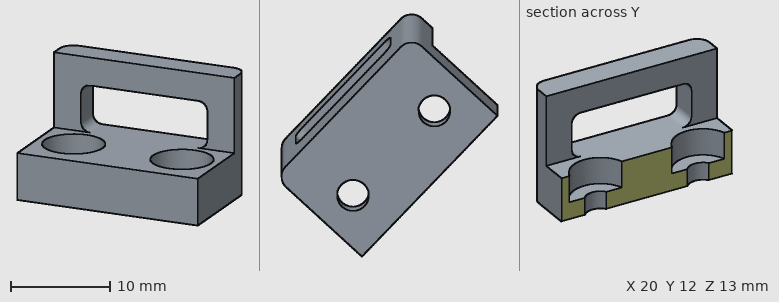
import cadquery as cq

length = 20
depth = 12
height = 13
base_height = 5
plate_thickness = 3
corner_radius = 1.5

frame_width = 3
window_radius = 1
window_length = length - 2 * frame_width
window_height = height - base_height - frame_width

hole_spacing = 12
hole_from_front = 5
hole_diameter = 3.2
counterbore_diameter = 6.4
counterbore_depth = 3


def make_body():
    """L-shaped body with rounded rear vertical edges."""
    profile = [
        (0, 0),
        (depth, 0),
        (depth, height),
        (depth - plate_thickness, height),
        (depth - plate_thickness, base_height),
        (0, base_height),
    ]
    body = cq.Workplane("YZ").polyline(profile).close().extrude(length / 2, both=True)
    return body.edges("|Z and >Y").fillet(corner_radius)


def make_window():
    """Rounded opening through the upright plate."""
    window = cq.Workplane("XY").box(
        window_length, plate_thickness, window_height, centered=(True, False, False)
    )
    window = window.edges("|Y").fillet(window_radius)
    return window.translate((0, depth - plate_thickness, base_height))


def cut_screw_holes(body):
    """Two counterbored holes through the base."""
    hole_centers = [(side * hole_spacing / 2, hole_from_front) for side in (-1, 1)]
    return (
        body.cut(
            cq.Workplane("XY").workplane(offset=base_height - counterbore_depth)
            .pushPoints(hole_centers)
            .circle(counterbore_diameter / 2)
            .extrude(counterbore_depth)
        )
        .cut(
            cq.Workplane("XY")
            .pushPoints(hole_centers)
            .circle(hole_diameter / 2)
            .extrude(base_height)
        )
    )


result = cut_screw_holes(make_body().cut(make_window()))